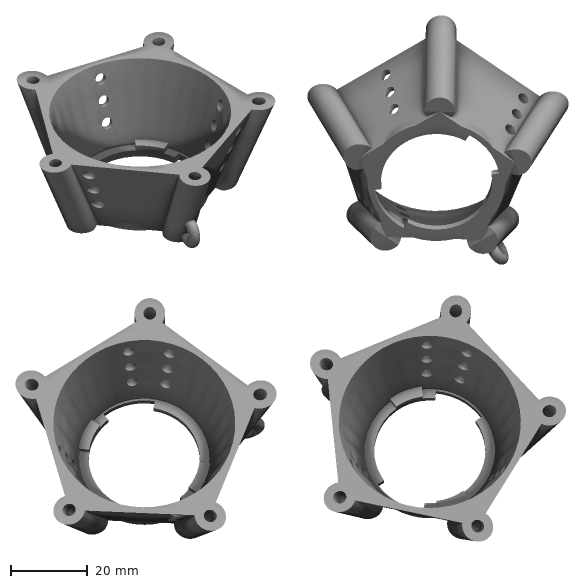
import cadquery as cq
import math

height = 25.0
side_count = 5
corner_angle = 360.0 / side_count
top_corner_radius = 31.37
corner_lean = 22.0
lean_slope = math.tan(math.radians(corner_lean))
lean_axis = cq.Vector(lean_slope, 0, 1)
bottom_corner_radius = top_corner_radius - height * lean_slope

post_radius = 4.0
screw_hole_diameter = 3.3
screw_hole_depth = 7.0
screw_point_length = 5.0

base_ring_radius = 18.0
base_ring_height = 3.0
lip_radius = 14.5
lip_height = 2.0
groove_radius = 17.0
groove_top = 2.6
mouth_radius = 23.75

slot_radius = 16.5
slot_angles = (90.0, 270.0)
slot_span = 50.0
stop_angles = (142.5, 322.5)
stop_span = 30.0
stop_height = 1.5

side_hole_diameter = 3.0
side_hole_heights = (9.0, 15.0, 21.0)
side_hole_lines = ((180.0, 0.0), (90.0, 2.0), (-90.0, 2.0), (60.0, 1.0), (-60.0, 1.0))

eyelet_x = 28.05
eyelet_z = 4.9
eyelet_ring_radius = 3.0
eyelet_wire_radius = 1.5

overrun = 5.0
reach = 2 * top_corner_radius


def disc(radius, bottom, top):
    """Upright cylinder on the part axis."""
    return cq.Workplane("XY").workplane(offset=bottom).circle(radius).extrude(top - bottom)


def sector(radius, middle_angle, span, bottom, top):
    """Upright pie slice on the part axis."""
    def rim(angle):
        turn = math.radians(angle)
        return radius * math.cos(turn), radius * math.sin(turn)

    return (
        cq.Workplane("XY").workplane(offset=bottom)
        .lineTo(*rim(middle_angle - span / 2))
        .threePointArc(rim(middle_angle), rim(middle_angle + span / 2))
        .close()
        .extrude(top - bottom)
    )


def pentagon_body():
    """Tapered body with one corner on the +X axis."""
    return (
        cq.Workplane("XY").polygon(side_count, 2 * bottom_corner_radius)
        .workplane(offset=height).polygon(side_count, 2 * top_corner_radius)
        .loft(ruled=True, combine=True)
    )


def on_corner(shape, corner):
    """Turn a shape made for the corner on the +X axis to another corner."""
    return shape.rotate((0, 0, 0), (0, 0, 1), corner * corner_angle)


def post():
    """Slanted cylinder with a square lower end on the corner of the base, trimmed to the body height."""
    start = cq.Vector(bottom_corner_radius, 0, 0)
    length = (height + overrun) * lean_axis.Length
    rod = cq.Workplane(cq.Solid.makeCylinder(post_radius, length, start, lean_axis))
    return rod.intersect(disc(reach, 0, height))


def screw_hole():
    """Blind hole along the post axis, ending in a long conical point."""
    radius = screw_hole_diameter / 2
    upward = lean_axis.normalized()
    shoulder = cq.Vector(top_corner_radius, 0, height) - upward * screw_hole_depth
    bore = cq.Solid.makeCylinder(radius, screw_hole_depth + overrun, shoulder, upward)
    point = cq.Solid.makeCone(radius, 0, screw_point_length, shoulder, upward * -1)
    return cq.Workplane(bore).union(cq.Workplane(point))


def eyelet():
    """Upright wire ring in the XZ plane, partly sunk in the post."""
    ring = cq.Solid.makeTorus(
        eyelet_ring_radius, eyelet_wire_radius, cq.Vector(eyelet_x, 0, eyelet_z), cq.Vector(0, 1, 0)
    )
    return cq.Workplane(ring)


def socket():
    """Conical mouth, a short straight groove below it, and the lip opening."""
    profile = [
        (0, 0),
        (lip_radius, 0),
        (lip_radius, lip_height),
        (groove_radius, lip_height),
        (groove_radius, groove_top),
        (mouth_radius, height),
        (0, height),
    ]
    return cq.Workplane("XZ").polyline(profile).close().revolve(360, (0, 0), (0, 1))


def side_hole(direction, x_crossing, z):
    """Level hole running outwards from the X axis."""
    turn = math.radians(direction)
    drill = cq.Solid.makeCylinder(
        side_hole_diameter / 2, reach,
        cq.Vector(x_crossing, 0, z), cq.Vector(math.cos(turn), math.sin(turn), 0),
    )
    return cq.Workplane(drill)


body = pentagon_body().union(disc(base_ring_radius, 0, base_ring_height))
for corner in range(side_count):
    body = body.union(on_corner(post(), corner))
body = body.union(eyelet())

socket_cut = socket()
for angle in stop_angles:
    stop = sector(mouth_radius, angle, stop_span, lip_height, lip_height + stop_height)
    socket_cut = socket_cut.cut(stop.cut(disc(lip_radius, 0, height)))
body = body.cut(socket_cut)

for angle in slot_angles:
    body = body.cut(sector(slot_radius, angle, slot_span, 0, lip_height))

for corner in range(side_count):
    body = body.cut(on_corner(screw_hole(), corner))
for direction, x_crossing in side_hole_lines:
    for z in side_hole_heights:
        body = body.cut(side_hole(direction, x_crossing, z))

result = body